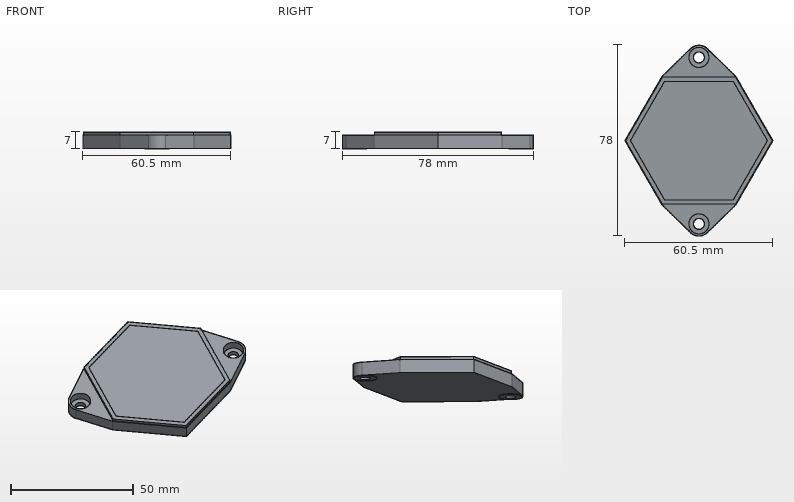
import cadquery as cq
import math

body_across_corners = 60.5
body_height = 5.5
cap_inset = 0.25
cap_across_corners = body_across_corners - 4 * cap_inset / math.sqrt(3)
cap_height = 1.25
recess_across_corners = 56.0
recess_depth = 0.1

lug_offset = 34.0
lug_radius = 5.0
screw_hole_diameter = 4.4
counterbore_diameter = 8.2
counterbore_depth = 3.6

pad_radius = 4.9
pad_height = 0.25

body_bottom = pad_height
body_top = body_bottom + body_height
cap_top = body_top + cap_height


def hexagon_prism(across_corners, bottom, height):
    """Regular hexagonal prism with two corners on the X axis."""
    return cq.Workplane("XY").workplane(offset=bottom).polygon(6, across_corners).extrude(height)


def disc(y, radius, bottom, height):
    """Upright cylinder on the Y axis of the part."""
    return cq.Workplane("XY").workplane(offset=bottom).center(0, y).circle(radius).extrude(height)


def lug(side):
    """Tapered ear reaching out from a hexagon flat, closed by an arc tangent to its slanted sides."""
    corner_x = body_across_corners / 4
    corner_y = body_across_corners * math.sqrt(3) / 4
    rise = lug_offset - corner_y
    corner_distance = math.hypot(corner_x, rise)
    tangent_angle = math.acos(lug_radius / corner_distance) - math.atan2(rise, corner_x)
    tangent_x = lug_radius * math.cos(tangent_angle)
    tangent_y = lug_offset + lug_radius * math.sin(tangent_angle)
    tip_y = lug_offset + lug_radius
    return (
        cq.Workplane("XY")
        .workplane(offset=body_bottom)
        .moveTo(0, 0)
        .lineTo(corner_x, side * corner_y)
        .lineTo(tangent_x, side * tangent_y)
        .threePointArc((0, side * tip_y), (-tangent_x, side * tangent_y))
        .lineTo(-corner_x, side * corner_y)
        .close()
        .extrude(body_height)
    )


def housing():
    """Hexagonal body with a slightly smaller cap and a shallow recess in its top."""
    body = hexagon_prism(body_across_corners, body_bottom, body_height)
    cap = hexagon_prism(cap_across_corners, body_top, cap_height)
    recess = hexagon_prism(recess_across_corners, cap_top - recess_depth, recess_depth)
    return body.union(cap).cut(recess)


def add_mount(part, side):
    """Add one lug with its pad and cut the counterbored screw hole."""
    y = side * lug_offset
    pad = disc(y, pad_radius, 0, pad_height)
    hole = disc(y, screw_hole_diameter / 2, 0, body_top)
    counterbore = disc(y, counterbore_diameter / 2, body_top - counterbore_depth, counterbore_depth)
    return part.union(lug(side)).union(pad).cut(hole).cut(counterbore)


result = housing()
for side in (1, -1):
    result = add_mount(result, side)